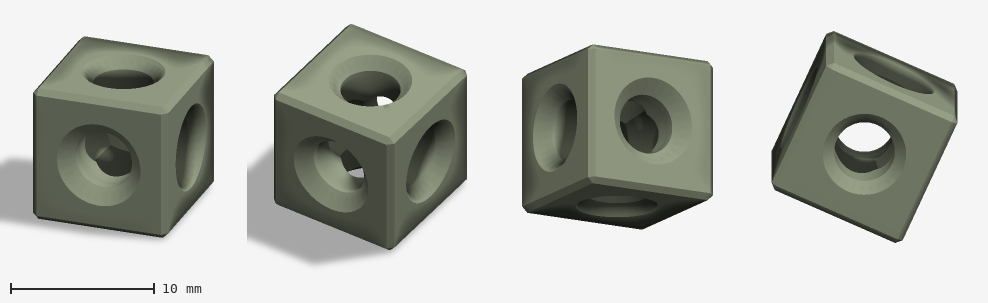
import cadquery as cq

side = 10.0
edge_chamfer = 0.4
hole_diameter = 4.2
side_countersink_diameter = 6.2
top_countersink_diameter = 5.8


def countersunk_hole(plane_name, countersink_diameter):
    """Through hole along the plane normal, with a 45 degree countersink at both ends."""
    half_side = side / 2
    hole_radius = hole_diameter / 2
    mouth_radius = countersink_diameter / 2
    cone_depth = mouth_radius - hole_radius
    profile = [
        (0, -half_side),
        (mouth_radius, -half_side),
        (hole_radius, -half_side + cone_depth),
        (hole_radius, half_side - cone_depth),
        (mouth_radius, half_side),
        (0, half_side),
    ]
    cutter = cq.Workplane("XZ").polyline(profile).close().revolve(360, (0, 0), (0, 1))
    return cq.Workplane(cutter.val().moved(cq.Location(cq.Plane.named(plane_name))))


result = cq.Workplane("XY").box(side, side, side).edges().chamfer(edge_chamfer)

for plane_name, countersink_diameter in (
    ("YZ", side_countersink_diameter),
    ("XZ", side_countersink_diameter),
    ("XY", top_countersink_diameter),
):
    result = result.cut(countersunk_hole(plane_name, countersink_diameter))